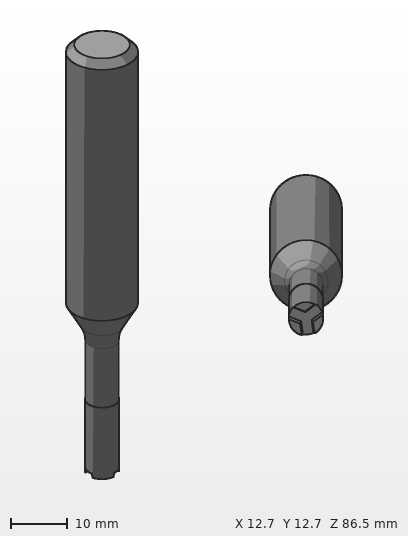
import cadquery as cq
import math

total_length = 86.5
shank_diameter = 12.7
neck_diameter = 6.0
tip_diameter = 6.05
tip_length = 14.5
cone_top = 34.1
cone_half_angle = 30.0
neck_fillet = 6.2
end_chamfer = 1.5
slot_count = 3
slot_width = 2.3
slot_floor_width = 1.8
slot_depth = 0.8
slot_overrun = 0.9
first_slot_angle = -90.0

shank_radius = shank_diameter / 2
neck_radius = neck_diameter / 2
slope = math.radians(cone_half_angle)
cone_bottom = cone_top - (shank_radius - neck_radius) / math.tan(slope)


def fillet_point(angle):
    """Point on the neck fillet whose tangent leans by angle from the axis."""
    tangent_length = neck_fillet * math.tan(slope / 2)
    radius = neck_radius + neck_fillet * (1 - math.cos(angle))
    height = cone_bottom - tangent_length + neck_fillet * math.sin(angle)
    return radius, height


def make_holder():
    """Chamfered shank that tapers through a filleted cone to a slim neck."""
    return (
        cq.Workplane("XZ")
        .moveTo(0, tip_length)
        .lineTo(neck_radius, tip_length)
        .lineTo(*fillet_point(0))
        .threePointArc(fillet_point(slope / 2), fillet_point(slope))
        .lineTo(shank_radius, cone_top)
        .lineTo(shank_radius, total_length - end_chamfer)
        .lineTo(shank_radius - end_chamfer, total_length)
        .lineTo(0, total_length)
        .close()
        .revolve(360, (0, 0), (0, 1))
    )


def make_slot(angle):
    """Radial tapered slot from the axis out through the rim of the lower end face."""
    return (
        cq.Workplane("YZ")
        .moveTo(-slot_width / 2, 0)
        .lineTo(-slot_floor_width / 2, slot_depth)
        .lineTo(slot_floor_width / 2, slot_depth)
        .lineTo(slot_width / 2, 0)
        .close()
        .extrude(tip_diameter / 2 + slot_overrun)
        .rotate((0, 0, 0), (0, 0, 1), angle)
    )


def make_tip():
    """Cylindrical cutting tip with evenly spaced radial slots in its end."""
    tip = cq.Workplane("XY").circle(tip_diameter / 2).extrude(tip_length)
    for index in range(slot_count):
        tip = tip.cut(make_slot(first_slot_angle + index * 360 / slot_count))
    return tip


holder = make_holder()
tip = make_tip()

result = cq.Compound.makeCompound([holder.val(), tip.val()])